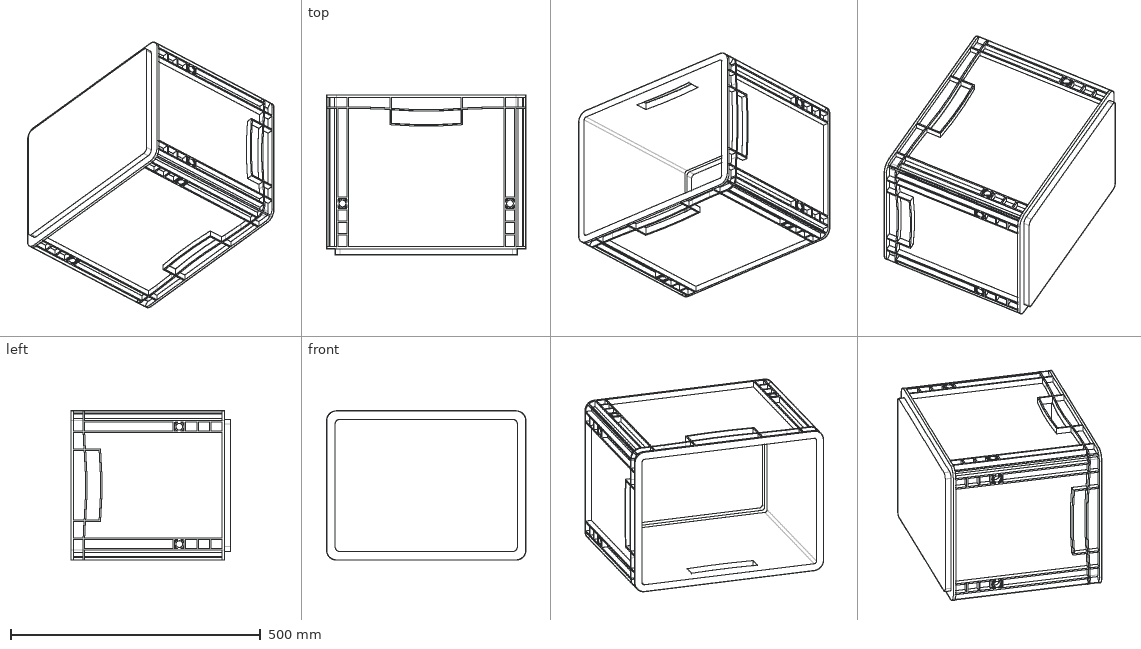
import cadquery as cq


width = 399.0
height = 299.0
length = 320.0
corner_radius = 20.0

wall_thickness = 3.0
wall_inset = 12.0
rim_thickness = 5.0
plinth_height = 12.0
plinth_inset = 17.0
plinth_radius = 9.5

rib = 3.0
cell_width = 18.0
cell_length = 22.5
cell_pitch = cell_length + rib
cell_count = 3
tube_pitch = 22.5
tube_outer_radius = 9.5
tube_inner_radius = 6.8
tube_spoke = 2.0
tube_spoke_step = 45

band_depth = 24.0
slope_start = 130.0
sag_start = 83.8
slope_drop = 1.5
sag_drop = 4.0

grip_half_width = 72.5
grip_drop = 30.0

base_rim_top = plinth_height + rim_thickness
mouth_rim_bottom = length - rim_thickness
inner_wall_inset = wall_inset + wall_thickness

rib_depth = wall_inset + wall_thickness / 2


def rounded_block(inset, radius, y_start, y_end):
    """Block along Y with rounded edges, set in from the outer envelope."""
    block = cq.Workplane("XY").box(width - 2 * inset, y_end - y_start, height - 2 * inset)
    return block.edges("|Y").fillet(radius).translate((0, (y_start + y_end) / 2, 0))


def plate(x_start, x_end, y_start, y_end):
    """Upright plate whose outer face lies at Z = 0 and whose foot sinks into the wall."""
    return (
        cq.Workplane("XY")
        .box(x_end - x_start, y_end - y_start, rib_depth, centered=False)
        .translate((x_start, y_start, -rib_depth))
    )


def sagging_area(half_span, depth_offset):
    """Area from the mouth down to the sagging curve, moved down by depth_offset."""
    flat_y = length - band_depth - depth_offset
    knee_y = flat_y - slope_drop
    return (
        cq.Workplane("XY")
        .moveTo(-half_span, length)
        .lineTo(-half_span, flat_y)
        .lineTo(-slope_start, flat_y)
        .lineTo(-sag_start, knee_y)
        .threePointArc((0, knee_y - sag_drop), (sag_start, knee_y))
        .lineTo(slope_start, flat_y)
        .lineTo(half_span, flat_y)
        .lineTo(half_span, length)
        .close()
        .extrude(-rib_depth)
    )


def sagging_band(half_span):
    """Curved rib, one rib thickness wide along Y."""
    return sagging_area(half_span, rib).cut(sagging_area(half_span, 0))


def grip_column(half_width):
    """Column of the given half width over the whole length of the wall."""
    return plate(-half_width, half_width, 0, length)


def grip_frame(half_span):
    """Sagging bar and two side bars that frame the hand grip below the mouth."""
    outside = sagging_area(half_span, grip_drop + rib).intersect(grip_column(grip_half_width))
    inside = sagging_area(half_span, grip_drop).intersect(grip_column(grip_half_width - rib))
    return outside.cut(inside)


def grip_opening(half_span):
    """Hand hole between the band rib and the bar of the grip frame, right through the wall."""
    opening = sagging_area(half_span, grip_drop).cut(sagging_area(half_span, rib))
    opening = opening.intersect(grip_column(grip_half_width - rib))
    return opening.union(opening.translate((0, 0, -wall_thickness)))


def spoked_tube():
    """Tube at the origin with thin spokes that reach out past its cell."""
    tube = cq.Workplane("XY").circle(tube_outer_radius).extrude(-rib_depth)
    spoke = plate(-tube_pitch, tube_pitch, -tube_spoke / 2, tube_spoke / 2)
    for angle in range(0, 180, tube_spoke_step):
        tube = tube.union(spoke.rotate((0, 0, 0), (0, 0, 1), angle))
    bore = cq.Workplane("XY").circle(tube_inner_radius).extrude(-rib_depth)
    return tube.cut(bore)


def rib_ladder(half_span):
    """Two long ribs beside the left corner, with cross ribs and a tube between them."""
    outer_rib_x = corner_radius - half_span
    cell_x = outer_rib_x + rib
    inner_rib_x = cell_x + cell_width
    ladder = plate(outer_rib_x, cell_x, base_rim_top, length - band_depth)
    ladder = ladder.union(plate(inner_rib_x, inner_rib_x + rib, base_rim_top, length))

    last_cell_y = base_rim_top + cell_count * cell_pitch
    cross_rib_tops = [base_rim_top + (i + 1) * cell_pitch for i in range(cell_count)]
    cross_rib_tops.append(last_cell_y + tube_pitch)
    for top in cross_rib_tops:
        ladder = ladder.union(plate(cell_x, inner_rib_x, top - rib, top))

    tube_x = cell_x + cell_width / 2
    tube_y = last_cell_y + (tube_pitch - rib) / 2
    tube = spoked_tube().translate((tube_x, tube_y, 0))
    tube_cell = plate(cell_x, inner_rib_x, last_cell_y, last_cell_y + tube_pitch - rib)
    return ladder.union(tube.intersect(tube_cell))


def wall_ribs(half_span):
    """All ribs of one wall, with their outer faces at Z = 0."""
    ladder = rib_ladder(half_span)
    ribs = ladder.union(ladder.mirror("YZ"))
    return ribs.union(sagging_band(half_span)).union(grip_frame(half_span))


def corner_web():
    """Diagonal web from the centre of the rounded -X, +Z corner out to its tip."""
    web = cq.Workplane("XY").box(corner_radius, mouth_rim_bottom - base_rim_top, rib)
    web = web.translate((-corner_radius / 2, (mouth_rim_bottom + base_rim_top) / 2, 0))
    web = web.rotate((0, 0, 0), (0, 1, 0), 45)
    return web.translate((corner_radius - width / 2, 0, height / 2 - corner_radius))


inner_radius = corner_radius - wall_inset
body = rounded_block(wall_inset, inner_radius, plinth_height, length)
body = body.union(rounded_block(plinth_inset, plinth_radius, 0, base_rim_top))
body = body.union(rounded_block(0, corner_radius, plinth_height, base_rim_top))
body = body.union(rounded_block(0, corner_radius, mouth_rim_bottom, length))

wide_side = wall_ribs(width / 2).translate((0, 0, height / 2))
narrow_side = wall_ribs(height / 2).rotate((0, 0, 0), (0, 1, 0), -90).translate((-width / 2, 0, 0))
ribs = wide_side.union(wide_side.mirror("XY"))
ribs = ribs.union(narrow_side).union(narrow_side.mirror("YZ"))

webs = corner_web()
webs = webs.union(webs.mirror("YZ"))
webs = webs.union(webs.mirror("XY"))

envelope = rounded_block(0, corner_radius, plinth_height, length)
body = body.union(ribs.union(webs).intersect(envelope))

cavity = rounded_block(inner_wall_inset, inner_radius - wall_thickness, base_rim_top, length)
plinth_cavity_inset = plinth_inset + wall_thickness
cavity = cavity.union(
    rounded_block(plinth_cavity_inset, plinth_radius - wall_thickness, wall_thickness, base_rim_top)
)
body = body.cut(cavity)

opening = grip_opening(width / 2).translate((0, 0, height / 2))
result = body.cut(opening).cut(opening.mirror("XY")).solids()